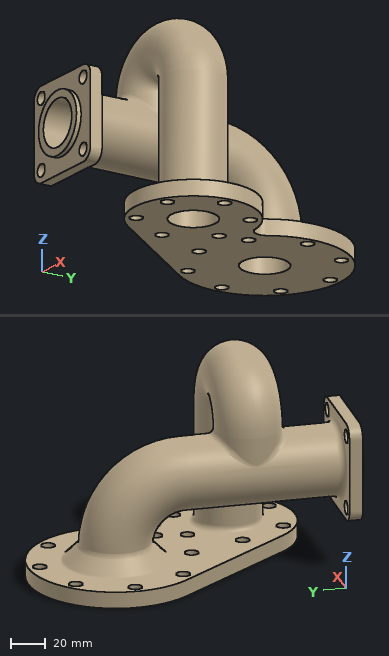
import cadquery as cq
import math

large_radius = 52.4
small_radius = 40.0
small_x = 45.4
small_y = -79.0
plate_thickness = 10.2
neck_radius = 7.5
hole_diameter = 8.0
large_bolt_radius = 45.4
large_bolt_count = 8
small_bolt_radius = 33.0
small_bolt_count = 6

main_diameter = 43.0
bore_diameter = 30.0
main_axis_z = 60.0
cone_base_diameter = 63.3
cone_height = (cone_base_diameter - main_diameter) / 2
cone_top_z = plate_thickness + cone_height
elbow_radius = main_axis_z - cone_top_z
cone_base_fillet = 3.1
cone_top_fillet = 4.0

branch_diameter = 40.0
return_radius = small_x / 2
total_height = 127.6
return_z = total_height - return_radius - branch_diameter / 2
tee_z = main_axis_z + main_diameter / 3
joint_fillet = 4.0

total_length = 195.5
face_y = large_radius - total_length
face_height = 3.1
face_diameter = 40.0
square_side = 59.8
square_thickness = 8.0
square_corner_radius = 7.8
square_hole_spacing = 44.2
square_front_y = face_y + face_height
square_back_y = square_front_y + square_thickness


def polar(center_x, center_y, radius, angle):
    """Point at an angle in radians around a centre."""
    return (center_x + radius * math.cos(angle), center_y + radius * math.sin(angle))


def bolt_holes(center_x, center_y, bolt_radius, count):
    return (
        cq.Workplane("XY")
        .center(center_x, center_y)
        .polarArray(bolt_radius, 0, 360, count)
        .circle(hole_diameter / 2)
        .extrude(plate_thickness)
    )


def base_plate():
    spacing = math.hypot(small_x, small_y)
    line_angle = math.atan2(small_y, small_x)

    tangent_angle = line_angle - math.acos((large_radius - small_radius) / spacing)
    large_tangent = polar(0, 0, large_radius, tangent_angle)
    small_tangent = polar(small_x, small_y, small_radius, tangent_angle)

    to_large = large_radius + neck_radius
    to_small = small_radius + neck_radius
    neck_cosine = (to_large**2 + spacing**2 - to_small**2) / (2 * to_large * spacing)
    neck_angle = line_angle + math.acos(neck_cosine)
    neck_x, neck_y = polar(0, 0, to_large, neck_angle)
    large_neck = polar(0, 0, large_radius, neck_angle)
    small_neck_angle = math.atan2(neck_y - small_y, neck_x - small_x)
    small_neck = polar(small_x, small_y, small_radius, small_neck_angle)
    neck_middle = polar(neck_x, neck_y, neck_radius, math.atan2(-neck_y, -neck_x) + math.pi / 4)

    return (
        cq.Workplane("XY")
        .moveTo(*large_neck)
        .threePointArc((0, large_radius), large_tangent)
        .lineTo(*small_tangent)
        .threePointArc((small_x + small_radius, small_y), small_neck)
        .threePointArc(neck_middle, large_neck)
        .close()
        .extrude(plate_thickness)
    )


def main_run(diameter, end_y):
    """Solid round bar along the main pipe, from the top of the cone to the end flange."""
    path = (
        cq.Workplane("YZ")
        .moveTo(0, cone_top_z)
        .radiusArc((-elbow_radius, main_axis_z), -elbow_radius)
        .lineTo(end_y, main_axis_z)
    )
    return cq.Workplane("XY", origin=(0, 0, cone_top_z)).circle(diameter / 2).sweep(path)


def main_inlet():
    """Straight bore through the plate and the cone."""
    return cq.Workplane("XY").circle(bore_diameter / 2).extrude(cone_top_z)


def branch_run(diameter, end_z):
    """Solid round bar along the axis of the branch pipe."""
    path = (
        cq.Workplane("XZ", origin=(0, small_y, 0))
        .moveTo(0, main_axis_z)
        .lineTo(0, return_z)
        .threePointArc((return_radius, return_z + return_radius), (small_x, return_z))
        .lineTo(small_x, end_z)
    )
    start = cq.Workplane("XY", origin=(0, small_y, main_axis_z))
    return start.circle(diameter / 2).sweep(path)


def cone():
    """45 degree collar that widens the main pipe onto the large flange."""
    solid = cq.Solid.makeCone(
        cone_base_diameter / 2, main_diameter / 2, cone_height, pnt=cq.Vector(0, 0, plate_thickness)
    )
    return cq.Workplane(solid)


def square_flange():
    return (
        cq.Workplane("XZ", origin=(0, square_back_y, main_axis_z))
        .rect(square_side, square_side)
        .extrude(square_thickness)
        .edges("|Y")
        .fillet(square_corner_radius)
        .faces("<Y")
        .workplane(origin=(0, square_front_y, main_axis_z))
        .rect(square_hole_spacing, square_hole_spacing, forConstruction=True)
        .vertices()
        .hole(hole_diameter)
    )


def raised_face():
    plane = cq.Workplane("XZ", origin=(0, square_front_y, main_axis_z))
    return plane.circle(face_diameter / 2).extrude(face_height)


def outer_body():
    """Solid outer shape with its joints rounded."""
    def near(point):
        return cq.selectors.NearestToPointSelector(point)

    body = base_plate().union(cone()).union(main_run(main_diameter, square_back_y))
    body = body.edges(near((0, 0, cone_top_z))).fillet(cone_top_fillet)
    body = body.edges(near((0, 0, plate_thickness))).fillet(cone_base_fillet)

    body = body.union(branch_run(branch_diameter, plate_thickness))
    body = body.edges(near((0, small_y, tee_z))).fillet(joint_fillet)
    body = body.edges(near((small_x, small_y, plate_thickness))).fillet(joint_fillet)

    body = body.union(square_flange())
    body = body.edges(near((0, square_back_y, main_axis_z))).fillet(joint_fillet)
    return body.union(raised_face())


result = (
    outer_body()
    .cut(main_run(bore_diameter, face_y))
    .cut(main_inlet())
    .cut(branch_run(bore_diameter, 0))
    .cut(bolt_holes(0, 0, large_bolt_radius, large_bolt_count))
    .cut(bolt_holes(small_x, small_y, small_bolt_radius, small_bolt_count))
    .solids()
)